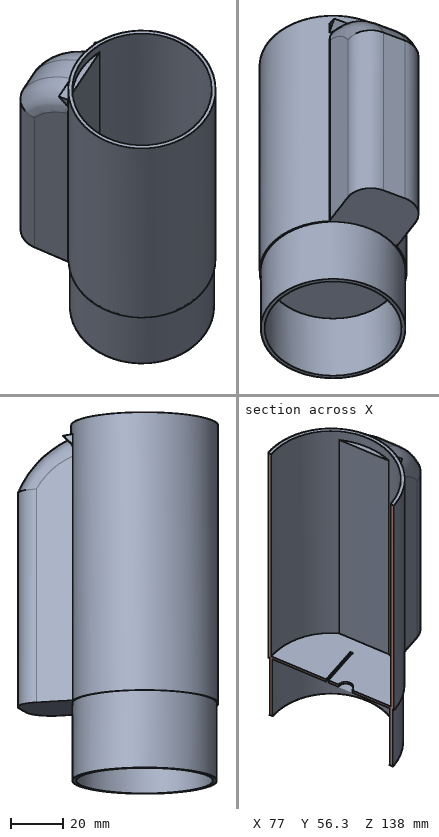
import cadquery as cq
import math

total_height = 138.0
wall = 1.5
cup_diameter = 56.3
cup_radius = cup_diameter / 2
cup_bore_diameter = cup_diameter - 2 * wall
sleeve_diameter = 55.3
sleeve_bore_diameter = sleeve_diameter - 2 * wall
sleeve_height = 30.0
floor_thickness = wall

hole_diameter = 6.0
hole_y = 6.5
slot_length = 22.0
slot_width = 1.0
slot_center_x = -6.7
slot_center_y = -1.6
recess_depth = 1.0

total_length = 77.0
grip_outer_x = cup_radius - total_length
grip_inner_x = -24.2
grip_width = 29.4
grip_corner_radius = 10.0
grip_depth = grip_inner_x - grip_outer_x
shoulder_start_z = 113.0
shoulder_end_x = -cup_radius
shoulder_end_z = 133.0
shoulder_sweep_deg = 45.0
wedge_rise = 0.5

chord_x = shoulder_end_x - grip_outer_x
chord_z = shoulder_end_z - shoulder_start_z
half_sweep = math.radians(shoulder_sweep_deg / 2)
center_offset = 0.5 / math.tan(half_sweep)
shoulder_center_x = grip_outer_x + chord_x / 2 + center_offset * chord_z
shoulder_center_z = shoulder_start_z + chord_z / 2 - center_offset * chord_x


def cylinder(diameter, bottom_z, top_z):
    return cq.Workplane("XY").workplane(offset=bottom_z).circle(diameter / 2).extrude(top_z - bottom_z)


def grip_section(z):
    """Horizontal grip section: a rectangle with its two outer corners rounded."""
    half_width = grip_width / 2
    flat_half_width = half_width - grip_corner_radius
    corner_x = grip_outer_x + grip_corner_radius
    corner_mid = grip_corner_radius * math.sqrt(0.5)
    return (
        cq.Workplane("XY")
        .workplane(offset=z)
        .moveTo(grip_inner_x, -half_width)
        .lineTo(corner_x, -half_width)
        .threePointArc((corner_x - corner_mid, -flat_half_width - corner_mid), (grip_outer_x, -flat_half_width))
        .lineTo(grip_outer_x, flat_half_width)
        .threePointArc((corner_x - corner_mid, flat_half_width + corner_mid), (corner_x, half_width))
        .lineTo(grip_inner_x, half_width)
        .close()
    )


def make_grip_body():
    return grip_section(sleeve_height).extrude(shoulder_start_z - sleeve_height)


def make_shoulder():
    """Grip section turned about the shoulder arc's axis, cut off flush with the grip's inner face."""
    axis_start = (shoulder_center_x, 0, shoulder_center_z)
    axis_end = (shoulder_center_x, 1, shoulder_center_z)
    face = cq.Face.makeFromWires(grip_section(shoulder_start_z).val())
    swept = cq.Solid.revolve(face, shoulder_sweep_deg, cq.Vector(axis_start), cq.Vector(axis_end))
    keep = (
        cq.Workplane("XY")
        .box(grip_depth, grip_width, total_height, centered=(False, True, False))
        .translate((grip_outer_x, 0, 0))
    )
    return keep.intersect(cq.Workplane(swept))


def make_wedge():
    """Full-width wedge between the tilted end of the shoulder and the grip's inner face."""
    wedge_length = grip_inner_x - shoulder_end_x
    wedge_drop = wedge_length * math.tan(math.radians(shoulder_sweep_deg))
    return (
        cq.Workplane("XZ")
        .moveTo(shoulder_end_x, shoulder_end_z)
        .lineTo(grip_inner_x, shoulder_end_z - wedge_drop)
        .lineTo(grip_inner_x, shoulder_end_z + wedge_rise)
        .close()
        .extrude(grip_width / 2, both=True)
    )


def make_tube():
    sleeve = cylinder(sleeve_diameter, 0, sleeve_height)
    sleeve_bore = cylinder(sleeve_bore_diameter, 0, sleeve_height)
    cup = cylinder(cup_diameter, sleeve_height, total_height)
    cup_bore = cylinder(cup_bore_diameter, sleeve_height + floor_thickness, total_height)
    return sleeve.union(cup).cut(sleeve_bore).cut(cup_bore)


def make_floor_recesses():
    floor_top_z = sleeve_height + floor_thickness
    floor = cq.Workplane("XY").workplane(offset=floor_top_z - recess_depth)
    hole = floor.center(0, hole_y).circle(hole_diameter / 2).extrude(recess_depth)
    slot = floor.center(slot_center_x, slot_center_y).rect(slot_length, slot_width).extrude(recess_depth)
    return hole.union(slot)


grip = make_grip_body().union(make_shoulder()).union(make_wedge())
result = make_tube().union(grip).cut(make_floor_recesses())